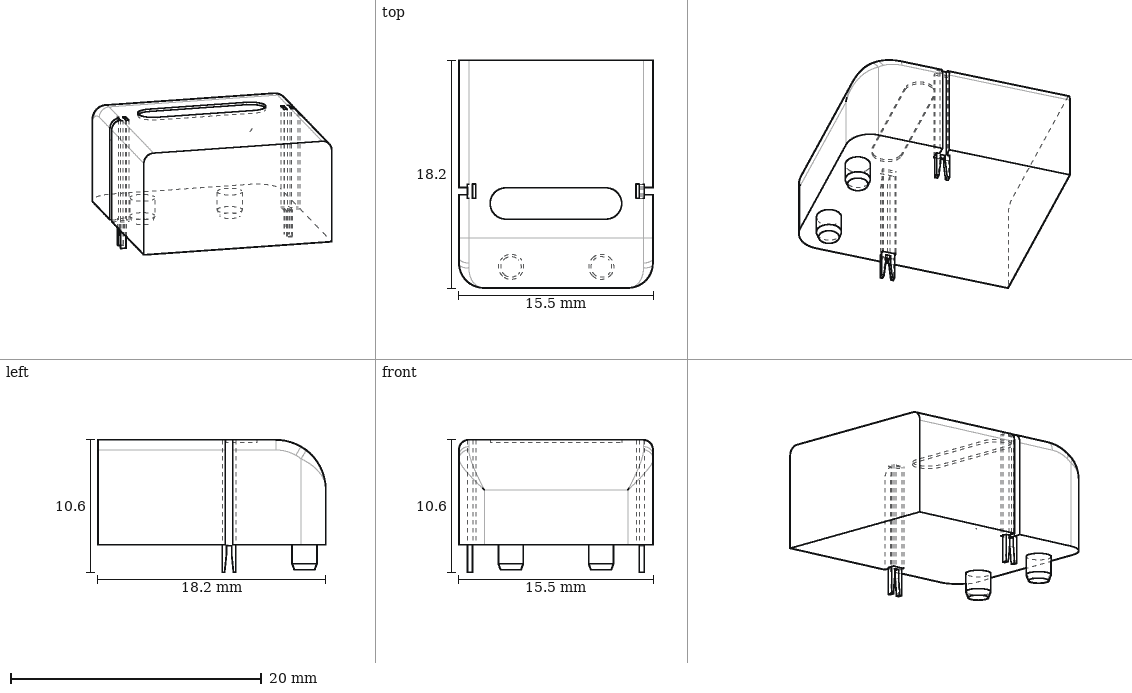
import cadquery as cq

width = 15.5
depth = 18.2
height = 8.39
brow_radius = 4.0
corner_radius = 2.02
side_edge_radius = 0.8

recess_length = 10.5
recess_width = 2.5
recess_depth = 0.2
recess_y = 6.75

pin_y = 7.74
pin_width = 1.11
pin_thickness = 0.42
pin_drop = 2.2
pin_inset = 0.7
pin_clearance = 0.24
channel_width = 0.56
fork_root_drop = 0.1
fork_taper_drop = 0.8
fork_root_gap = 0.4
fork_tip_gap = 0.7

peg_radius = 1.0
peg_length = 2.0
peg_x = 3.6
peg_y = 1.71
peg_tip_length = 0.5
peg_tip_inset = 0.18

side_x = width / 2
pin_outer_x = side_x - pin_inset


def make_block():
    return cq.Workplane("XY").box(width, depth, height, centered=(True, False, False))


def make_housing():
    """Overlap of a cornered block and a browed block, then rounded along the roof sides."""
    cornered = make_block().edges("|Z and <Y").fillet(corner_radius)
    browed = make_block().faces("<Y").edges(">Z").fillet(brow_radius)
    housing = cornered.intersect(browed)
    return housing.faces(">Z").edges("|Y").fillet(side_edge_radius)


def make_recess():
    return (
        cq.Workplane("XY", origin=(0, recess_y, height - recess_depth))
        .slot2D(recess_length, recess_width)
        .extrude(recess_depth)
    )


def make_pin_slot(side):
    """T-shaped opening through the full height: narrow slit outside, pin pocket inside."""
    slit = (
        cq.Workplane("XY", origin=(side * (side_x - pin_inset / 2), pin_y, 0))
        .rect(pin_inset, channel_width)
        .extrude(height)
    )
    pocket_depth = pin_thickness + pin_clearance
    pocket = (
        cq.Workplane("XY", origin=(side * (pin_outer_x - pocket_depth / 2), pin_y, 0))
        .rect(pocket_depth, pin_width)
        .extrude(height)
    )
    return slit.union(pocket)


def make_pin(side):
    """Flat pin, flush with the roof, ending in two legs that thin towards their tips."""
    outline = [
        (-pin_width / 2, height),
        (-pin_width / 2, -pin_drop),
        (-fork_tip_gap / 2, -pin_drop),
        (-fork_root_gap / 2, -fork_taper_drop),
        (-fork_root_gap / 2, -fork_root_drop),
        (fork_root_gap / 2, -fork_root_drop),
        (fork_root_gap / 2, -fork_taper_drop),
        (fork_tip_gap / 2, -pin_drop),
        (pin_width / 2, -pin_drop),
        (pin_width / 2, height),
    ]
    centre_x = side * (pin_outer_x - pin_thickness / 2)
    return (
        cq.Workplane("YZ", origin=(centre_x, pin_y, 0))
        .polyline(outline)
        .close()
        .extrude(pin_thickness / 2, both=True)
    )


def make_peg(side):
    """Round peg with a tapered tip, hanging from the underside."""
    return (
        cq.Workplane("XY", origin=(side * peg_x, peg_y, 0))
        .circle(peg_radius)
        .extrude(-peg_length)
        .faces("<Z")
        .chamfer(peg_tip_length, peg_tip_inset)
    )


result = make_housing().cut(make_recess())
for side in (-1, 1):
    result = result.cut(make_pin_slot(side))
    result = result.union(make_pin(side))
    result = result.union(make_peg(side))